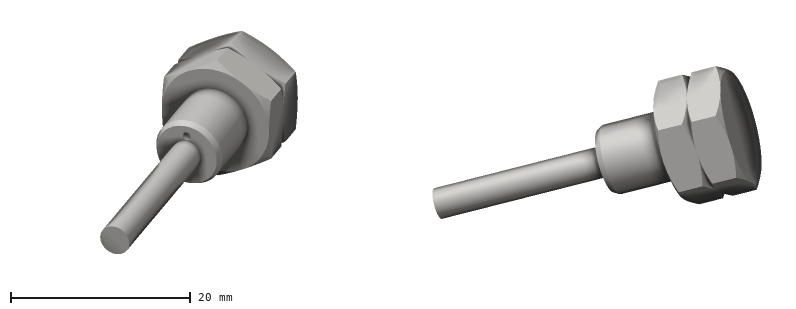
import cadquery as cq
import math

total_length = 36.0
nut_flats = 13.0
nut_thickness = 4.0
nut_count = 2
sleeve_diameter = 8.0
sleeve_length = 8.0
sleeve_chamfer_length = 0.7
sleeve_chamfer_depth = 0.35
rod_diameter = 3.53
hole_diameter = 0.97
hole_offset = 2.38
hole_depth = sleeve_length
nut_bevel_angle = 30.0

nut_corners = nut_flats / math.cos(math.radians(30))
nut_bevel_depth = (nut_corners - nut_flats) / 2
nut_bevel_length = nut_bevel_depth * math.tan(math.radians(nut_bevel_angle))
nut_stack_length = nut_count * nut_thickness
sleeve_end = nut_stack_length + sleeve_length


def make_nut(start):
    """Solid hexagonal nut with corners along Z, bevelled on both faces."""
    prism = (
        cq.Workplane("XY")
        .workplane(offset=start)
        .polygon(6, nut_corners)
        .extrude(nut_thickness)
        .rotate((0, 0, 0), (0, 0, 1), 90)
    )
    bevel_envelope = (
        cq.Workplane("XY")
        .workplane(offset=start)
        .circle(nut_corners / 2)
        .extrude(nut_thickness)
        .faces("<Z or >Z")
        .chamfer(nut_bevel_length, nut_bevel_depth)
    )
    return prism.intersect(bevel_envelope)


def make_sleeve():
    """Sleeve with a slim bevel at its free end and a small axial hole."""
    radius = sleeve_diameter / 2
    profile = [
        (0, 0),
        (radius, 0),
        (radius, sleeve_end - sleeve_chamfer_length),
        (radius - sleeve_chamfer_depth, sleeve_end),
        (0, sleeve_end),
    ]
    sleeve = cq.Workplane("XZ").polyline(profile).close().revolve(360, (0, 0, 0), (0, 1, 0))
    hole = (
        cq.Workplane("XY")
        .workplane(offset=sleeve_end - hole_depth)
        .center(0, hole_offset)
        .circle(hole_diameter / 2)
        .extrude(hole_depth)
    )
    return sleeve.cut(hole)


def make_rod():
    """Plain rod running from the back of the nuts to the tip."""
    return cq.Workplane("XY").circle(rod_diameter / 2).extrude(total_length)


body = make_sleeve()
for index in range(nut_count):
    body = body.union(make_nut(index * nut_thickness))
body = body.union(make_rod())

result = body.rotate((0, 0, 0), (1, 0, 0), 90)